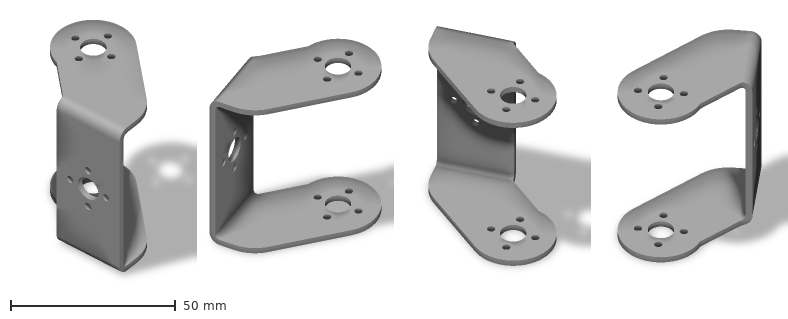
import cadquery as cq
import math

height = 56.0
thickness = 2.0
inner_bend_radius = 1.5
outer_bend_radius = inner_bend_radius + thickness
web_width = 24.5
web_edge = web_width / 2

hub_radius = 13.15
hub_x = -19.8
hub_y = 27.0
shoulder_radius = hub_radius
shoulder_x = web_edge - shoulder_radius
shoulder_y = 8.55
waist_x = -24.0
slant_end_x = -12.75

bore_diameter = 8.0
screw_diameter = 2.5
screw_offset = 7.0


def arm_outline():
    """Closed arm outline in XY, from the outer web face to the rounded hub."""
    normal_angle = math.atan2(shoulder_x - hub_x, hub_y - shoulder_y)

    def on_circle(x, y, radius, angle):
        return (x + radius * math.cos(angle), y + radius * math.sin(angle))

    shoulder_end = on_circle(shoulder_x, shoulder_y, shoulder_radius, normal_angle)
    shoulder_mid = on_circle(shoulder_x, shoulder_y, shoulder_radius, normal_angle / 2)
    hub_start = on_circle(hub_x, hub_y, hub_radius, normal_angle)
    waist_y = hub_y - math.sqrt(hub_radius**2 - (waist_x - hub_x) ** 2)
    notch_width = -web_edge - slant_end_x
    notch_radius = (notch_width**2 + inner_bend_radius**2) / (2 * notch_width)
    hub_far = (hub_x - hub_radius, hub_y)
    return (
        cq.Workplane("XY")
        .moveTo(-web_edge, 0)
        .lineTo(web_edge, 0)
        .lineTo(web_edge, shoulder_y)
        .threePointArc(shoulder_mid, shoulder_end)
        .lineTo(*hub_start)
        .threePointArc(hub_far, (waist_x, waist_y))
        .lineTo(slant_end_x, outer_bend_radius)
        .radiusArc((-web_edge, thickness), notch_radius)
        .close()
    )


def bent_sheet():
    """Channel of constant thickness, long enough along Y to cover the arms."""
    length = hub_y + 2 * hub_radius

    def channel_block(inset, bend_radius):
        return (
            cq.Workplane("XY")
            .box(2 * length, length, height - 2 * inset, centered=(True, False, True))
            .edges("|X and <Y")
            .fillet(bend_radius)
            .translate((0, inset, 0))
        )

    return channel_block(0, outer_bend_radius).cut(channel_block(thickness, inner_bend_radius))


def hole_pattern(plane, center, depth):
    """Central bore with four screw holes, cutting both ways from the plane."""
    screws = [(screw_offset, 0), (-screw_offset, 0), (0, screw_offset), (0, -screw_offset)]
    base = cq.Workplane(plane).center(*center)
    bore = base.circle(bore_diameter / 2).extrude(depth, both=True)
    return bore.union(base.pushPoints(screws).circle(screw_diameter / 2).extrude(depth, both=True))


outline_prism = arm_outline().extrude(height / 2, both=True)
bracket = bent_sheet().intersect(outline_prism)
bracket = bracket.cut(hole_pattern("XY", (hub_x, hub_y), height))
result = bracket.cut(hole_pattern("XZ", (0, 0), 2 * thickness))